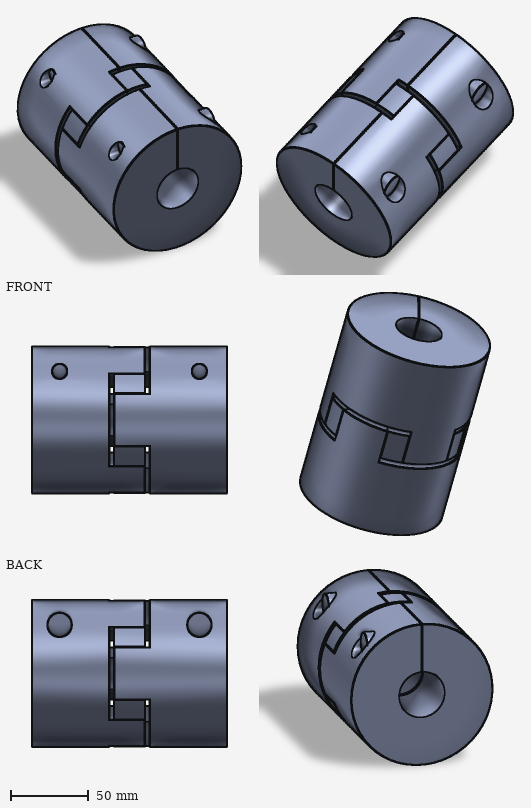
import cadquery as cq
import math


length = 126.0
hub_radius = 47.5
bore_radius = 15.2
hub_chamfer = 0.5
tolerance = 0.001

claw_tip = 10.1
claw_root = 12.9
core_radius = 31.8
claws_per_hub = 3
claw_pitch = 360 / claws_per_hub
legs = 2 * claws_per_hub
leg_pitch = 360 / legs
spider_radius = 47.2
spider_chamfer = 0.4

leg_root_half = 6.2
leg_middle_half = 7.5
leg_tip_half = 7.3

slot_width = 1.0
screw_x = 45.0
screw_z = 31.2
shank_radius = 5.0
shank_length = 55.0
head_diameter = 16.0
head_radius = head_diameter / 2
head_length = 10.0
screw_chamfer = 0.4
head_end_y = 33.8
head_seat_y = head_end_y - head_length
shank_end_y = head_seat_y - shank_length


def cylinder_x(radius, x_start, x_end):
    return cq.Workplane("YZ", origin=(x_start, 0, 0)).circle(radius).extrude(x_end - x_start)


def cylinder_y(radius, x, y_start, y_end):
    plane = cq.Plane(origin=(x, y_start, screw_z), xDir=(1, 0, 0), normal=(0, 1, 0))
    return cq.Workplane(plane).circle(radius).extrude(y_end - y_start)


def polar(radius, degrees):
    angle = math.radians(degrees)
    return (radius * math.cos(angle), radius * math.sin(angle))


def flank_point(radius, half_width, direction, side):
    """Point on a flank of the leg that points in a direction; side is +1 or -1."""
    return polar(radius, direction + side * math.degrees(math.asin(half_width / radius)))


def leg_flank(direction, side):
    """Root, middle and tip points of one leg flank."""
    middle_radius = (core_radius + hub_radius) / 2
    return (
        flank_point(core_radius, leg_root_half, direction, side),
        flank_point(middle_radius, leg_middle_half, direction, side),
        flank_point(hub_radius, leg_tip_half, direction, side),
    )


def claw_gap(direction, x_start, x_end):
    """Space between two claws of one hub: the core, both legs and the opposing claw."""
    root_a, middle_a, tip_a = leg_flank(direction - leg_pitch / 2, -1)
    root_b, middle_b, tip_b = leg_flank(direction + leg_pitch / 2, 1)
    outside = polar(2 * hub_radius, direction)
    return (
        cq.Workplane("YZ", origin=(x_start, 0, 0))
        .lineTo(*root_a)
        .threePointArc(middle_a, tip_a)
        .threePointArc(outside, tip_b)
        .threePointArc(middle_b, root_b)
        .close()
        .extrude(x_end - x_start)
    )


def on_cylinder(point, radius):
    return abs(math.hypot(point.y, point.z) - radius) < tolerance


def middle_zone_edges(body, radius):
    """Edges around the mid plane that run along the body's outer cylinder."""
    half_width = claw_root + hub_chamfer
    zone = cq.selectors.BoxSelector(
        (-half_width, -hub_radius, -hub_radius),
        (half_width, hub_radius, hub_radius),
    )
    return body.edges(zone).filter(
        lambda edge: on_cylinder(edge.startPoint(), radius) and on_cylinder(edge.endPoint(), radius)
    )


def make_hub(side, first_claw):
    """Hub on one side of the mid plane (-1 or +1), its first claw at the given angle from +Y."""
    hub_end = side * length / 2
    face = side * claw_root
    tip = -side * claw_tip

    hub = cylinder_x(hub_radius, hub_end, tip)
    hub = hub.cut(cylinder_x(core_radius, face, tip))
    for i in range(claws_per_hub):
        gap_direction = first_claw + (i + 0.5) * claw_pitch
        hub = hub.cut(claw_gap(gap_direction, face, tip))
    outer_edges = middle_zone_edges(hub, hub_radius).add(hub.faces("<X" if side < 0 else ">X").edges())
    hub = outer_edges.chamfer(hub_chamfer)
    hub = hub.cut(cylinder_x(bore_radius, hub_end, face))

    slot_length = length / 2 - claw_root
    slot = cq.Workplane("XY").box(slot_length, slot_width, hub_radius, centered=(True, True, False))
    hub = hub.cut(slot.translate((side * (claw_root + slot_length / 2), 0, 0)))

    hub = hub.cut(cylinder_y(shank_radius, side * screw_x, -hub_radius, head_seat_y))
    return hub.cut(cylinder_y(head_radius, side * screw_x, head_seat_y, hub_radius))


def make_spider():
    spider = cylinder_x(core_radius, -claw_tip, claw_tip)
    for i in range(legs):
        direction = leg_pitch / 2 + i * leg_pitch
        root_a, middle_a, tip_a = leg_flank(direction, -1)
        root_b, middle_b, tip_b = leg_flank(direction, 1)
        leg = (
            cq.Workplane("YZ", origin=(-claw_tip, 0, 0))
            .lineTo(*root_a)
            .threePointArc(middle_a, tip_a)
            .threePointArc(polar(hub_radius, direction), tip_b)
            .threePointArc(middle_b, root_b)
            .close()
            .extrude(2 * claw_tip)
        )
        spider = spider.union(leg)
    spider = spider.intersect(cylinder_x(spider_radius, -claw_tip, claw_tip))
    spider = middle_zone_edges(spider, spider_radius).chamfer(spider_chamfer)
    return spider.cut(cylinder_x(bore_radius, -claw_tip, claw_tip))


def make_screw(x):
    shank = cylinder_y(shank_radius, x, shank_end_y, head_seat_y)
    screw = shank.union(cylinder_y(head_radius, x, head_seat_y, head_end_y))
    return screw.faces("<Y or >Y").edges().chamfer(screw_chamfer)


left_hub = make_hub(side=-1, first_claw=0)
right_hub = make_hub(side=1, first_claw=180)
spider = make_spider()
screws = [make_screw(side * screw_x).val() for side in (-1, 1)]

result = cq.Compound.makeCompound([left_hub.val(), right_hub.val(), spider.val(), *screws])